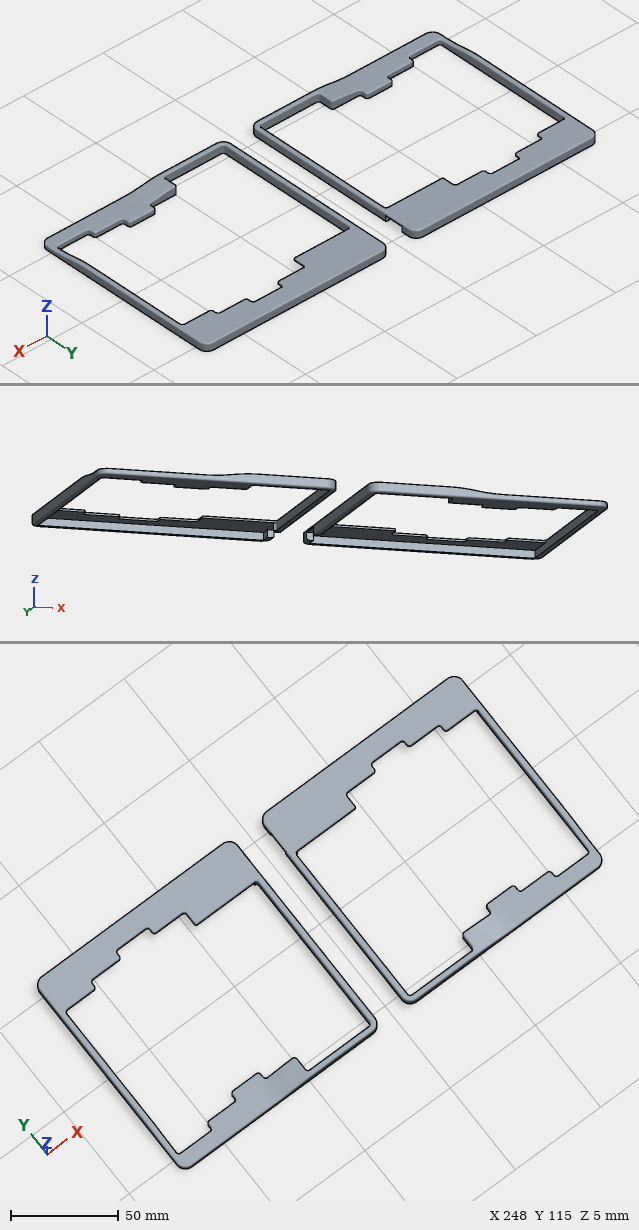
import cadquery as cq
total_length = 248.0
frame_width = 116.0
frame_depth = 115.0
height = 5.0
outer_radius = 5.0
rim = 3.2
corner_radius = 1.5
tab_radius = 1.0
edge_round = 1.6 / 2

plate_thickness = 1.2
rear_outer_depth = 20.0
rear_step_depth = 15.5
rear_bump_depth = 11.2
rear_inner_depth = 24.0
rear_step_x = 21.5
rear_bump_start = 39.7
rear_bump_end = 58.8
rear_inner_x = 77.0

front_outer_depth = 8.2
front_step_depth = 12.6
front_bump_depth = 17.4
front_step_x = 23.3
front_bump_start = 41.0
front_bump_end = 57.5
front_inner_x = 75.1

drop = 2.0
ramp_length = 24.8
front_ramp_start = 52.3
side_ramp_start = front_outer_depth

notch_start = 9.5
notch_length = 11.5

window_right = frame_width - rim
plate_underside = height - plate_thickness
low_level = height - drop
corner_zone = rim + corner_radius
ramp_fractions = (0, 0.5, 1)
tolerance = 0.002


def from_rear(distance):
    return frame_depth - distance


def box(x_start, x_end, y_start, y_end, z_start, z_end):
    size = (x_end - x_start, y_end - y_start, z_end - z_start)
    return cq.Workplane("XY").box(*size, centered=False).translate((x_start, y_start, z_start))


def window():
    """Stepped opening through the frame, with a smaller radius at the rear plate's tab."""
    tab_corner = (rear_inner_x, from_rear(rear_inner_depth))
    outline = [
        (rim, front_outer_depth),
        (front_step_x, front_outer_depth),
        (front_step_x, front_step_depth),
        (front_bump_start, front_step_depth),
        (front_bump_start, front_bump_depth),
        (front_bump_end, front_bump_depth),
        (front_bump_end, front_step_depth),
        (front_inner_x, front_step_depth),
        (front_inner_x, rim),
        (window_right, rim),
        (window_right, from_rear(rear_inner_depth)),
        tab_corner,
        (rear_inner_x, from_rear(rear_step_depth)),
        (rear_bump_end, from_rear(rear_step_depth)),
        (rear_bump_end, from_rear(rear_bump_depth)),
        (rear_bump_start, from_rear(rear_bump_depth)),
        (rear_bump_start, from_rear(rear_step_depth)),
        (rear_step_x, from_rear(rear_step_depth)),
        (rear_step_x, from_rear(rear_outer_depth)),
        (rim, from_rear(rear_outer_depth)),
    ]
    prism = cq.Workplane("XY").polyline(outline).close().extrude(height)
    tab_edge = cq.Vector(*tab_corner, height / 2)

    def is_tab(edge):
        return (edge.Center() - tab_edge).Length < corner_radius

    rounded = prism.edges("|Z").filter(lambda edge: not is_tab(edge)).fillet(corner_radius)
    return rounded.edges("|Z").filter(is_tab).fillet(tab_radius)


def ramp_cutter(plane, start, ramp_start, width):
    """Space above a low flat and the S-shaped ramp that rises from it to full height."""
    middle = ramp_start + ramp_length / 2
    end = ramp_start + ramp_length
    return (
        cq.Workplane(plane)
        .moveTo(start, low_level)
        .lineTo(ramp_start, low_level)
        .tangentArcPoint((middle, height - drop / 2), relative=False)
        .tangentArcPoint((end, height), relative=False)
        .lineTo(start, height)
        .close()
        .extrude(width)
    )


def lowered_corner():
    """Cutters for the front bar and for the outer side bar, meeting at the low flat."""
    front = ramp_cutter("XZ", corner_zone, front_ramp_start, -front_bump_depth)
    side = ramp_cutter("YZ", 0, side_ramp_start, corner_zone)
    return front, side


def is_ramp_seam(edge):
    """True for the straight lines across the top where a ramp's faces meet."""
    centre = edge.Center()
    bounds = edge.BoundingBox()
    front_seams = [front_ramp_start + ramp_length * part for part in ramp_fractions]
    side_seams = [side_ramp_start + ramp_length * part for part in ramp_fractions]
    on_front = bounds.xlen < tolerance and min(abs(centre.x - x) for x in front_seams) < tolerance
    on_side = (
        bounds.ylen < tolerance
        and centre.x < corner_zone
        and min(abs(centre.y - y) for y in side_seams) < tolerance
    )
    return on_front or on_side


def frame():
    """One frame with its outer end at X = 0 and its front edge at Y = 0."""
    body = box(0, frame_width, 0, frame_depth, 0, height).edges("|Z").fillet(outer_radius)
    body = body.faces("<Z").edges().fillet(edge_round)
    body = body.cut(window())
    for cutter in lowered_corner():
        body = body.cut(cutter)
    body = body.clean()

    top_edges = body.edges("not |Z").filter(
        lambda edge: edge.Center().z > low_level - edge_round / 2 and not is_ramp_seam(edge)
    )
    body = top_edges.fillet(edge_round)

    hollow = box(rim, window_right, from_rear(rear_inner_depth), from_rear(rim), 0, plate_underside)
    notch = box(
        window_right, frame_width,
        from_rear(notch_start + notch_length), from_rear(notch_start),
        0, plate_underside,
    )
    return body.cut(hollow).cut(notch)


left_frame = frame().translate((-total_length / 2, -frame_depth / 2, 0))
right_frame = left_frame.mirror("YZ")

result = cq.Compound.makeCompound([left_frame.val(), right_frame.val()])